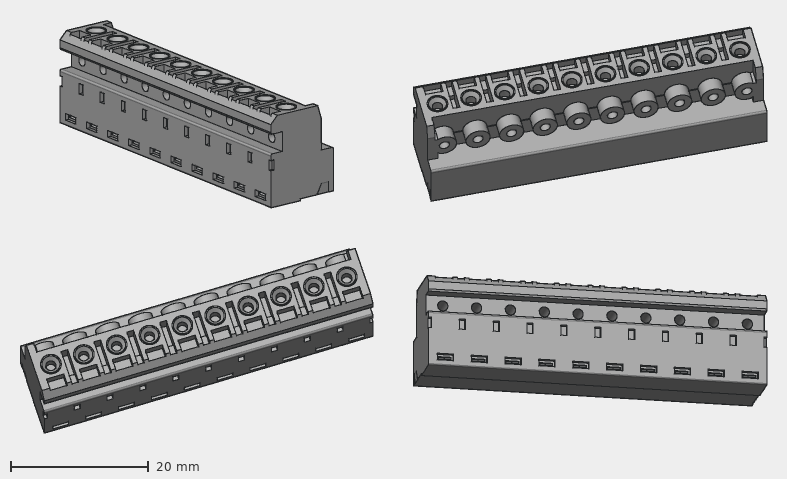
import cadquery as cq

pole_count = 10
pitch = 5.0
length = pole_count * pitch
depth = 11.5
height = 13.9

top_chamfer = 1.2
groove_depth = 2.1
groove_bottom = 8.2
groove_top = 11.2
lip_chamfer_height = 0.3
lip_chamfer_depth = 0.15
shoulder_radius = 0.3
foot_radius = 0.15
rear_wall_y = 9.25
rear_top_y = 8.6
rear_slope_z = 11.85
ledge_z = 7.0
heel_y = 5.45
heel_z = 0.3

cheek_thickness = 1.1
cheek_step_width = 0.45
recess_wall_y = 7.15
sill_depth = 0.15
barrel_diameter = 3.6
wire_hole_diameter = 1.5
wire_axis_z = 9.7

screw_y = 4.75
screw_rim_diameter = 3.0
screw_rim_depth = 0.1
screw_cone_diameter = 2.6
screw_cone_depth = 0.6
screw_bore_diameter = 1.5
screw_bore_depth = 2.0

window_width = 2.6
window_front_y = 0.95
window_back_y = 2.7
window_depth = 1.4
slit_width = 1.0
slit_back_y = 6.15
slit_front_depth = 1.4
slit_back_depth = 2.2

key_width = 0.9
key_bottom_z = 5.65
key_top_z = 7.2
key_depth = 0.6
latch_width = 2.4
latch_bottom_z = 0.8
latch_height = 1.0
latch_depth = 0.6
latch_core_width = 1.9
latch_core_height = 0.35
latch_core_depth = 0.4

ramp_front_top_y = 9.3
ramp_front_bottom_y = 8.45
ramp_back_y = 10.6
ramp_top_z = 1.9
ramp_depth = 0.05

pole_centers = [(i + 0.5) * pitch - length / 2 for i in range(pole_count)]
pole_borders = [i * pitch - length / 2 for i in range(pole_count + 1)]


def block(x_range, y_range, z_range):
    """Axis-aligned box given by its (low, high) limits."""
    sizes = [high - low for low, high in (x_range, y_range, z_range)]
    return cq.Workplane("XY").box(*sizes, centered=False).translate((x_range[0], y_range[0], z_range[0]))


def centered_range(center, width):
    return (center - width / 2, center + width / 2)


def cylinder_along_y(x, diameter, y_start, y_end):
    axis_start = cq.Vector(x, y_start, wire_axis_z)
    return cq.Workplane(cq.Solid.makeCylinder(diameter / 2, y_end - y_start, axis_start, cq.Vector(0, 1, 0)))


def housing():
    """Constant end profile extruded over the full length."""
    profile = (
        cq.Workplane("YZ", origin=(-length / 2, 0, 0))
        .moveTo(foot_radius, 0)
        .lineTo(heel_y, 0)
        .lineTo(heel_y, heel_z)
        .lineTo(depth, heel_z)
        .lineTo(depth, ledge_z - shoulder_radius)
        .radiusArc((depth - shoulder_radius, ledge_z), -shoulder_radius)
        .lineTo(rear_wall_y, ledge_z)
        .lineTo(rear_wall_y, rear_slope_z)
        .lineTo(rear_top_y, height)
        .lineTo(top_chamfer, height)
        .lineTo(0, height - top_chamfer)
        .lineTo(0, groove_top + lip_chamfer_height)
        .lineTo(lip_chamfer_depth, groove_top)
        .lineTo(groove_depth, groove_top)
        .lineTo(groove_depth, groove_bottom)
        .lineTo(shoulder_radius, groove_bottom)
        .radiusArc((0, groove_bottom - shoulder_radius), -shoulder_radius)
        .lineTo(0, foot_radius)
        .radiusArc((foot_radius, 0), -foot_radius)
        .close()
    )
    return profile.extrude(length)


def rear_recess():
    """Space behind the top, between the end cheeks and around the barrels."""
    half = length / 2 - cheek_thickness
    recess = block((-half, half), (recess_wall_y, depth), (ledge_z, height))
    for x in pole_centers:
        recess = recess.cut(cylinder_along_y(x, barrel_diameter, recess_wall_y, rear_wall_y))
    recess = recess.cut(
        block((-half, half), (recess_wall_y, recess_wall_y + sill_depth), (ledge_z, wire_axis_z))
    )
    step_offset = pitch / 2 - cheek_thickness - cheek_step_width
    step_z = wire_axis_z + ((barrel_diameter / 2) ** 2 - step_offset ** 2) ** 0.5
    for x_range in ((-half, cheek_step_width - half), (half - cheek_step_width, half)):
        recess = recess.cut(block(x_range, (recess_wall_y, rear_wall_y), (ledge_z, step_z)))
    return recess


def screw_opening(x):
    """Shallow rim, cone and blind bore, revolved about the screw axis."""
    rim_z = height - screw_rim_depth
    cone_z = rim_z - screw_cone_depth
    return (
        cq.Workplane("XZ", origin=(x, screw_y, 0))
        .moveTo(0, height)
        .lineTo(screw_rim_diameter / 2, height)
        .lineTo(screw_rim_diameter / 2, rim_z)
        .lineTo(screw_cone_diameter / 2, rim_z)
        .lineTo(screw_bore_diameter / 2, cone_z)
        .lineTo(screw_bore_diameter / 2, height - screw_bore_depth)
        .lineTo(0, height - screw_bore_depth)
        .close()
        .revolve(360, (0, 0, 0), (0, 1, 0))
    )


def terminal_window(x):
    return block(
        centered_range(x, window_width), (window_front_y, window_back_y), (height - window_depth, height)
    )


def divider_slit(x):
    """Slit between two poles, deeper behind the windows."""
    x_range = centered_range(x, slit_width)
    front = block(x_range, (window_front_y, window_back_y), (height - slit_front_depth, height))
    back = block(x_range, (window_back_y, slit_back_y), (height - slit_back_depth, height))
    return front.union(back)


def key_pocket(x):
    return block(centered_range(x, key_width), (0, key_depth), (key_bottom_z, key_top_z))


def latch_pocket(x):
    """Front pocket with a smaller core behind it whose floor slopes up to the rear."""
    middle_z = latch_bottom_z + latch_height / 2
    mouth = block(centered_range(x, latch_width), (0, latch_depth), centered_range(middle_z, latch_height))
    core_bottom_z, core_top_z = centered_range(middle_z, latch_core_height)
    core = (
        cq.Workplane("YZ", origin=(x - latch_core_width / 2, 0, 0))
        .moveTo(0, core_bottom_z)
        .lineTo(latch_depth, core_bottom_z)
        .lineTo(latch_depth + latch_core_depth, core_top_z)
        .lineTo(0, core_top_z)
        .close()
        .extrude(latch_core_width)
    )
    return mouth.union(core)


def end_ramp():
    """Recess in the -X end whose flat floor runs out to nothing at its top."""
    outline = [
        (ramp_front_bottom_y, heel_z),
        (ramp_back_y, heel_z),
        (ramp_back_y, ramp_top_z),
        (ramp_front_top_y, ramp_top_z),
    ]
    end_x = -length / 2
    plan = cq.Workplane("YZ", origin=(end_x, 0, 0)).polyline(outline).close().extrude(ramp_depth)
    wedge = (
        cq.Workplane("XZ", origin=(0, ramp_back_y, 0))
        .moveTo(end_x, heel_z)
        .lineTo(end_x + ramp_depth, heel_z)
        .lineTo(end_x, ramp_top_z)
        .close()
        .extrude(ramp_back_y - ramp_front_bottom_y)
    )
    return plan.intersect(wedge)


result = housing().cut(rear_recess())
for pole_x in pole_centers:
    result = result.cut(cylinder_along_y(pole_x, wire_hole_diameter, 0, depth))
    result = result.cut(screw_opening(pole_x))
    result = result.cut(terminal_window(pole_x))
    result = result.cut(latch_pocket(pole_x))
for border_x in pole_borders:
    result = result.cut(key_pocket(border_x))
for border_x in pole_borders[1:-1]:
    result = result.cut(divider_slit(border_x))
ramp = end_ramp()
result = result.cut(ramp).cut(ramp.mirror("YZ"))